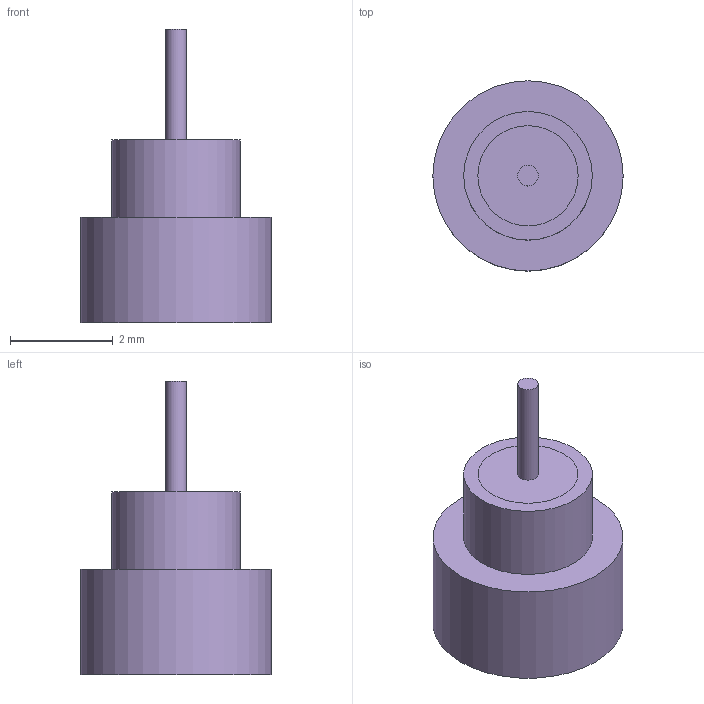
import cadquery as cq

base_diameter = 3.7
base_height = 2.05
collar_diameter = 2.5
collar_height = 1.5
insulator_diameter = 1.95
pin_diameter = 0.4
total_height = 5.7

collar_top = base_height + collar_height


def cylinder(diameter, bottom, top):
    """Solid cylinder on the Z axis between two heights."""
    return cq.Workplane("XY").workplane(offset=bottom).circle(diameter / 2).extrude(top - bottom)


base = cylinder(base_diameter, 0, base_height)
collar = cylinder(collar_diameter, base_height, collar_top)
insulator = cylinder(insulator_diameter, base_height, collar_top)
sleeve = collar.cut(insulator)

pin = cylinder(pin_diameter, collar_top, total_height)

result = base.union(sleeve).union(insulator, clean=False).union(pin, clean=False)